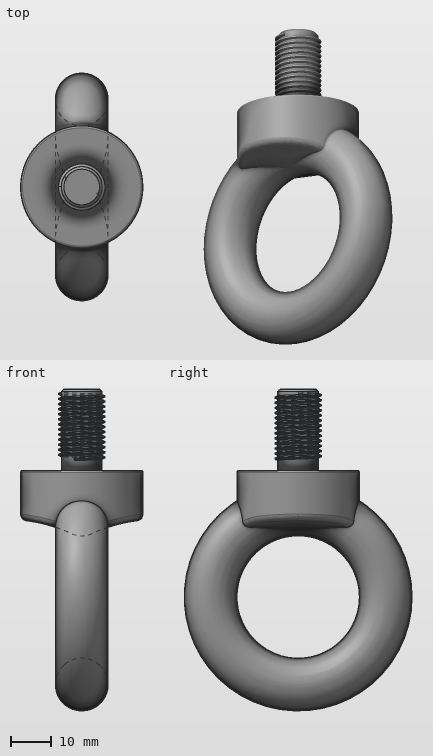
import cadquery as cq

TOTAL_HEIGHT = 79.0

RING_INNER_DIAMETER = 30.0
RING_BAR_DIAMETER = 12.95
RING_PATH_RADIUS = (RING_INNER_DIAMETER + RING_BAR_DIAMETER) / 2
RING_OUTER_RADIUS = RING_PATH_RADIUS + RING_BAR_DIAMETER / 2

CORE_DIAMETER = 10.0
SHANK_LENGTH = 20.0
SHANK_CHAMFER = 0.6
SHANK_TIP_Z = TOTAL_HEIGHT - RING_OUTER_RADIUS

COLLAR_DIAMETER = 30.0
COLLAR_TOP_Z = SHANK_TIP_Z - SHANK_LENGTH
COLLAR_TOP_FILLET = 0.5
UNDERSIDE_OUTER_Z = 18.9
UNDERSIDE_INNER_Z = 15.9
UNDERSIDE_INNER_X = 3.15
UNDERSIDE_ARC_RISE = 0.5
UNDERSIDE_FILLET = 1.65

THREAD_LENGTH = 15.95
THREAD_TURNS = 12.8
THREAD_PITCH = THREAD_LENGTH / THREAD_TURNS
THREAD_DEPTH = 0.69
THREAD_ROOT_WIDTH = 0.9
THREAD_CREST_WIDTH = 0.2
THREAD_START_HEIGHT = 2.85
THREAD_START_ANGLE = 251.0


def make_ring():
    """Torus whose axis is parallel to X."""
    bar = cq.Workplane("XY").center(0, RING_PATH_RADIUS).circle(RING_BAR_DIAMETER / 2)
    return bar.revolve(360, (0, -RING_PATH_RADIUS, 0), (1, -RING_PATH_RADIUS, 0))


def make_collar():
    """Round collar with a hollow-curved underside and rounded edges."""
    radius = COLLAR_DIAMETER / 2
    profile = (
        cq.Workplane("XZ")
        .moveTo(-radius, COLLAR_TOP_Z)
        .lineTo(-radius, UNDERSIDE_OUTER_Z)
        .sagittaArc((-UNDERSIDE_INNER_X, UNDERSIDE_INNER_Z), UNDERSIDE_ARC_RISE)
        .lineTo(UNDERSIDE_INNER_X, UNDERSIDE_INNER_Z)
        .sagittaArc((radius, UNDERSIDE_OUTER_Z), UNDERSIDE_ARC_RISE)
        .lineTo(radius, COLLAR_TOP_Z)
        .close()
        .extrude(radius, both=True)
    )
    cylinder = (
        cq.Workplane("XY", origin=(0, 0, UNDERSIDE_INNER_Z))
        .circle(radius)
        .extrude(COLLAR_TOP_Z - UNDERSIDE_INNER_Z)
    )
    collar = cylinder.intersect(profile)
    collar = collar.edges("not (|Z or |Y or >Z)").fillet(UNDERSIDE_FILLET)
    return collar.faces(">Z").edges().fillet(COLLAR_TOP_FILLET)


def make_shank():
    """Core cylinder with a chamfered tip."""
    core = cq.Workplane("XY", origin=(0, 0, COLLAR_TOP_Z)).circle(CORE_DIAMETER / 2).extrude(SHANK_LENGTH)
    return core.faces(">Z").edges().chamfer(SHANK_CHAMFER)


def make_thread():
    """Helical ridge with blunt ends, seated on the core surface."""
    root_radius = CORE_DIAMETER / 2
    crest_radius = root_radius + THREAD_DEPTH
    helix = cq.Wire.makeHelix(THREAD_PITCH, THREAD_LENGTH, root_radius)
    ridge = (
        cq.Workplane("XZ")
        .moveTo(root_radius, -THREAD_ROOT_WIDTH / 2)
        .lineTo(crest_radius, -THREAD_CREST_WIDTH / 2)
        .lineTo(crest_radius, THREAD_CREST_WIDTH / 2)
        .lineTo(root_radius, THREAD_ROOT_WIDTH / 2)
        .close()
        .sweep(cq.Workplane(helix), isFrenet=True)
    )
    ridge = ridge.rotate((0, 0, 0), (0, 0, 1), THREAD_START_ANGLE)
    return ridge.translate((0, 0, COLLAR_TOP_Z + THREAD_START_HEIGHT))


eye_bolt = make_ring().union(make_collar()).union(make_shank())
thread = make_thread()

result = cq.Compound.makeCompound([eye_bolt.solids().val(), thread.val()])